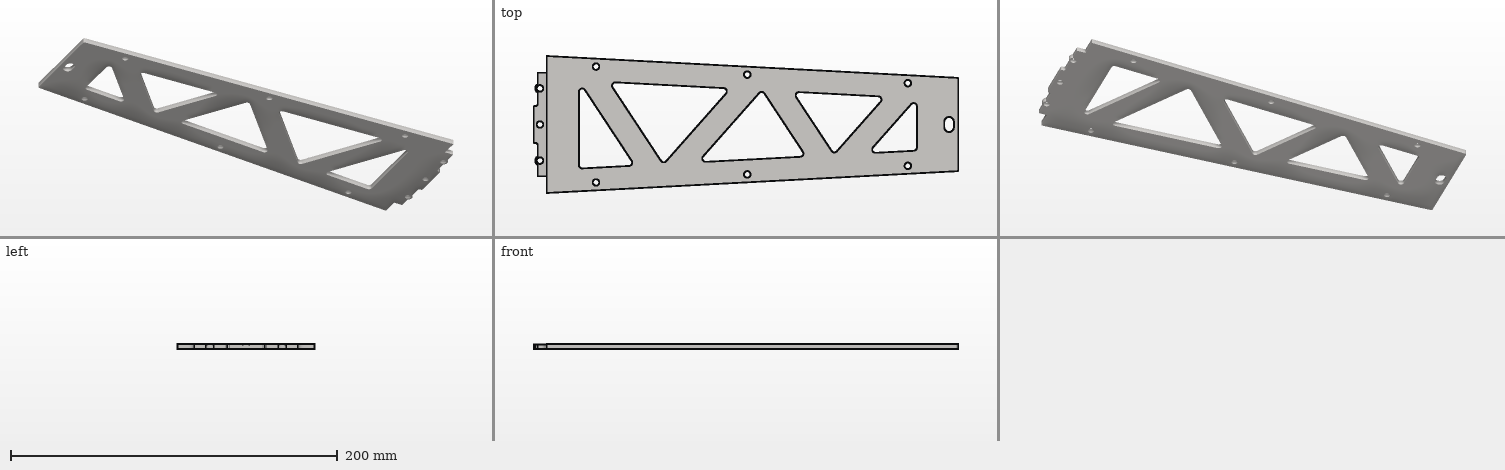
import cadquery as cq
import math

length = 260.2
thickness = 3.0
plate_start = 8.0
wide_half = 84.0 / 2
narrow_half = 28.5
end_corner_radius = 1.0
taper = (wide_half - narrow_half) / (length - plate_start)

tongue_start = 2.47
tongue_thickness = 2.9
tongue_half = 31.7
nose_half = 11.5
nose_outer_radius = 1.0
nose_inner_radius = 1.0
tongue_hole_x = 4.0
tongue_hole_spacing = 22.0
lug_radius = 2.9

hole_diameter = 4.0
edge_hole_inset = 5.0
edge_hole_places = (38.2, 131.0, 229.2)
slot_x = 254.5
slot_width = 5.7
slot_length = 9.0

window_start = 27.8
window_end = 234.7
rail_width = 14.0
strut_width = 15.0
window_corner_radius = 1.95
falling_angle = 123.4
rising_angle = 48.5
struts = (
    (54.5, falling_angle),
    (111.0, rising_angle),
    (163.0, falling_angle),
    (210.2, rising_angle),
)


def half_width(x):
    """Half the plate width at position x."""
    return wide_half - taper * (x - plate_start)


def make_plate():
    outline = [
        (plate_start, -wide_half),
        (length, -narrow_half),
        (length, narrow_half),
        (plate_start, wide_half),
    ]
    plate = cq.Workplane("XY").polyline(outline).close().extrude(thickness)
    return plate.edges("|Z and >X").fillet(end_corner_radius)


def make_tongue():
    tongue_end = plate_start + rail_width / 2
    base = cq.Workplane("XY").box(
        tongue_end - tongue_start, 2 * tongue_half, tongue_thickness, centered=(False, True, False)
    ).translate((tongue_start, 0, 0))
    nose = cq.Workplane("XY").box(
        tongue_end, 2 * nose_half, tongue_thickness, centered=(False, True, False)
    )
    tongue = base.union(nose)
    tongue = tongue.edges("|Z and <X").fillet(nose_outer_radius)
    reach = nose_half + nose_outer_radius
    selector = cq.selectors.BoxSelector(
        (tongue_start - nose_inner_radius / 2, -reach, 0),
        (tongue_start + nose_inner_radius / 2, reach, tongue_thickness),
    )
    tongue = tongue.edges("|Z").edges(selector).fillet(nose_inner_radius)
    lugs = (
        cq.Workplane("XY")
        .pushPoints([(tongue_hole_x, side * tongue_hole_spacing) for side in (-1, 1)])
        .circle(lug_radius)
        .extrude(tongue_thickness)
    )
    return tongue.union(lugs)


def crossing_with_rail(axis_x, lean, side):
    """Point where a sloping side meets the inner edge of a rail (side is +1 or -1)."""
    axis_half = half_width(axis_x) - rail_width
    y = side * axis_half / (1 + side * taper * lean)
    return axis_x + lean * y, y


def crossing_of_sides(left, right):
    """Point where the two sloping sides of a window meet."""
    y = (right[0] - left[0]) / (left[1] - right[1])
    return left[0] + left[1] * y, y


def make_windows():
    """Rounded triangular openings, alternately based on the -Y and +Y rail."""
    left_sides = [(window_start, 0)]
    right_sides = []
    for x, angle in struts:
        lean = 1 / math.tan(math.radians(angle))
        half_span = strut_width / 2 / math.sin(math.radians(angle))
        right_sides.append((x - half_span, lean))
        left_sides.append((x + half_span, lean))
    right_sides.append((window_end, 0))

    windows = cq.Workplane("XY")
    rail_side = -1
    for left, right in zip(left_sides, right_sides):
        corners = [
            crossing_with_rail(*left, rail_side),
            crossing_with_rail(*right, rail_side),
            crossing_of_sides(left, right),
        ]
        window = cq.Workplane("XY").polyline(corners).close().extrude(thickness)
        windows = windows.add(window.edges("|Z").fillet(window_corner_radius))
        rail_side = -rail_side
    return windows.combine()


def make_holes():
    centres = [(tongue_hole_x, row * tongue_hole_spacing) for row in (-1, 0, 1)]
    for x in edge_hole_places:
        y = half_width(x) - edge_hole_inset
        centres += [(x, -y), (x, y)]
    return cq.Workplane("XY").pushPoints(centres).circle(hole_diameter / 2).extrude(thickness)


def make_slot():
    return cq.Workplane("XY").center(slot_x, 0).slot2D(slot_length, slot_width, 90).extrude(thickness)


result = make_plate().union(make_tongue())
result = result.cut(make_windows()).cut(make_holes()).cut(make_slot())